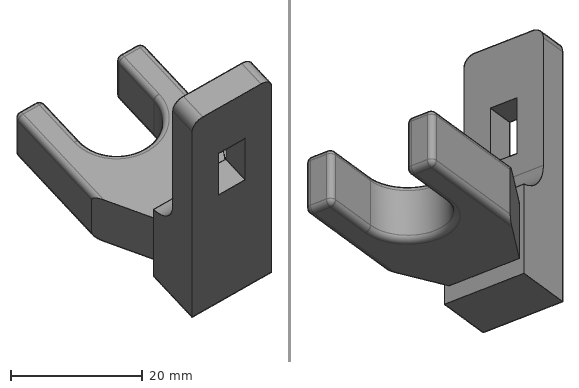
import cadquery as cq
import math

BRACKET_HEIGHT = 47.0
BRACKET_WIDTH = 15.0
FOOT_DEPTH = 10.0
PLATE_DEPTH = FOOT_DEPTH / 2
BLEND_RADIUS = 6.0
BLEND_TOP = 22.0
CORNER_RADIUS = 2.0

WINDOW_WIDTH = 5.0
WINDOW_HEIGHT = 10.0
WINDOW_BOTTOM = 26.0

OVERALL_LENGTH = 39.75
FORK_LENGTH = OVERALL_LENGTH - FOOT_DEPTH
FORK_WIDTH = 24.0
FORK_HEIGHT = 10.0
FORK_BOTTOM = 3.0
MOUTH_RADIUS = 7.0
MOUTH_CENTER_X = 10.0
TAPER_START_X = 20.0
ROOT_WIDTH = 13.25
EDGE_RADIUS = 1.0


def make_bracket():
    """Upright plate blended into its foot by an arc tangent to the plate."""
    plate_face_x = OVERALL_LENGTH - PLATE_DEPTH
    blend_center_x = plate_face_x - BLEND_RADIUS
    end_angle = math.acos((FORK_LENGTH - blend_center_x) / BLEND_RADIUS)
    foot_top = BLEND_TOP - BLEND_RADIUS * math.sin(end_angle)
    arc_middle = (
        blend_center_x + BLEND_RADIUS * math.cos(end_angle / 2),
        BLEND_TOP - BLEND_RADIUS * math.sin(end_angle / 2),
    )
    body = (
        cq.Workplane("XZ")
        .moveTo(FORK_LENGTH, 0)
        .lineTo(OVERALL_LENGTH, 0)
        .lineTo(OVERALL_LENGTH, BRACKET_HEIGHT)
        .lineTo(plate_face_x, BRACKET_HEIGHT)
        .lineTo(plate_face_x, BLEND_TOP)
        .threePointArc(arc_middle, (FORK_LENGTH, foot_top))
        .close()
        .extrude(BRACKET_WIDTH / 2, both=True)
    )
    body = body.faces(">Z").edges("|X").fillet(CORNER_RADIUS)
    window = cq.Workplane("XY").box(
        PLATE_DEPTH, WINDOW_WIDTH, WINDOW_HEIGHT, centered=(False, True, False)
    ).translate((plate_face_x, 0, WINDOW_BOTTOM))
    return body.cut(window)


def make_fork():
    """Two-pronged fork with rounded edges and a sharp-edged tapering root."""
    half_width = FORK_WIDTH / 2
    half_root = ROOT_WIDTH / 2
    body = (
        cq.Workplane("XY", origin=(0, 0, FORK_BOTTOM))
        .moveTo(0, MOUTH_RADIUS)
        .lineTo(MOUTH_CENTER_X, MOUTH_RADIUS)
        .threePointArc((MOUTH_CENTER_X + MOUTH_RADIUS, 0), (MOUTH_CENTER_X, -MOUTH_RADIUS))
        .lineTo(0, -MOUTH_RADIUS)
        .lineTo(0, -half_width)
        .lineTo(FORK_LENGTH, -half_width)
        .lineTo(FORK_LENGTH, half_width)
        .lineTo(0, half_width)
        .close()
        .extrude(FORK_HEIGHT)
    )
    tip_edges = body.faces("<X").edges()
    long_edges = body.edges("|X or %CIRCLE")
    body = tip_edges.add(long_edges).fillet(EDGE_RADIUS)

    for side in (-1, 1):
        corner = (
            cq.Workplane("XY", origin=(0, 0, FORK_BOTTOM))
            .moveTo(TAPER_START_X, side * half_width)
            .lineTo(FORK_LENGTH, side * half_root)
            .lineTo(FORK_LENGTH, side * half_width)
            .close()
            .extrude(FORK_HEIGHT)
        )
        body = body.cut(corner)
    return body


bracket = make_bracket()
fork = make_fork()
result = cq.Compound.makeCompound([bracket.solids().val(), fork.solids().val()])